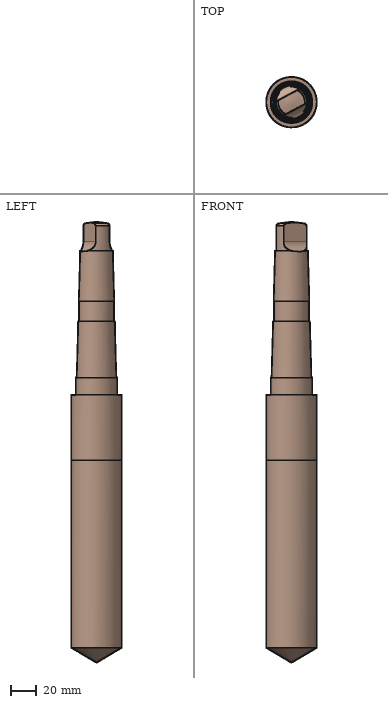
import cadquery as cq

total_length = 349.0
tip_height = 12.0
joint_z = 160.2
shoulder_z = 212.0
taper_start_z = 225.5
relief_bottom_z = 270.0
relief_top_z = 286.0
tang_base_z = 326.0
flat_runout_z = 333.3
tang_bevel_z = 346.0
tang_dome_z = 347.5

body_diameter = 40.0
collar_diameter = 33.0
taper_large_diameter = 31.8
taper_small_diameter = 26.2
relief_diameter = 28.0
tang_diameter = 24.5
dome_diameter = 21.0

tang_thickness = 12.5
tang_angle = 28.0
runout_radius = 8.0


def taper_radius(z):
    """Radius of the shank taper at height z."""
    fraction = (z - taper_start_z) / (tang_base_z - taper_start_z)
    diameter = taper_large_diameter + fraction * (taper_small_diameter - taper_large_diameter)
    return diameter / 2


def make_cutting_body():
    """Plain cylinder with a conical drill point."""
    return (
        cq.Workplane("XZ")
        .moveTo(0, 0)
        .lineTo(body_diameter / 2, tip_height)
        .lineTo(body_diameter / 2, joint_z)
        .lineTo(0, joint_z)
        .close()
        .revolve(360, (0, 0), (0, 1))
    )


def make_shank_blank():
    """Turned shank: body, collar, relieved taper and round tang with a low conical end."""
    return (
        cq.Workplane("XZ")
        .moveTo(0, joint_z)
        .lineTo(body_diameter / 2, joint_z)
        .lineTo(body_diameter / 2, shoulder_z)
        .lineTo(collar_diameter / 2, shoulder_z)
        .lineTo(collar_diameter / 2, taper_start_z)
        .lineTo(taper_large_diameter / 2, taper_start_z)
        .lineTo(taper_radius(relief_bottom_z), relief_bottom_z)
        .lineTo(relief_diameter / 2, relief_bottom_z)
        .lineTo(relief_diameter / 2, relief_top_z)
        .lineTo(taper_radius(relief_top_z), relief_top_z)
        .lineTo(taper_small_diameter / 2, tang_base_z)
        .lineTo(tang_diameter / 2, tang_base_z)
        .lineTo(tang_diameter / 2, tang_bevel_z)
        .lineTo(dome_diameter / 2, tang_dome_z)
        .lineTo(0, total_length)
        .close()
        .revolve(360, (0, 0), (0, 1))
    )


def make_flat_cutter():
    """Cutter for one tang flat, ending at its lower end in a concave quarter round."""
    flat_y = tang_thickness / 2
    return (
        cq.Workplane("YZ")
        .moveTo(flat_y, total_length)
        .lineTo(flat_y, flat_runout_z)
        .radiusArc((flat_y + runout_radius, flat_runout_z - runout_radius), -runout_radius)
        .lineTo(flat_y + runout_radius, total_length)
        .close()
        .extrude(body_diameter / 2, both=True)
    )


def make_shank():
    """Shank with two opposite flats on its tang."""
    shank = make_shank_blank()
    for half_turn in (0, 180):
        cutter = make_flat_cutter().rotate((0, 0, 0), (0, 0, 1), tang_angle + half_turn)
        shank = shank.cut(cutter)
    return shank


cutting_body = make_cutting_body()
shank = make_shank()

result = cq.Compound.makeCompound([cutting_body.val(), shank.val()])